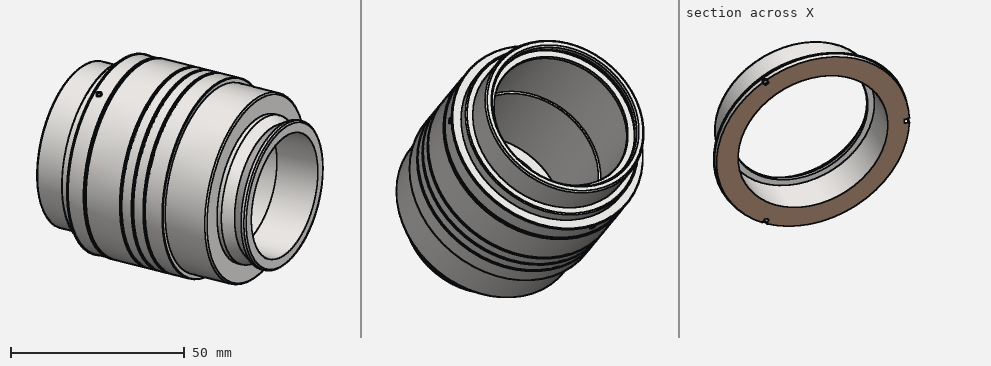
import cadquery as cq
import math

length = 68.55
barrel_radius = 59.7 / 2
fine_bevel = 0.2
bevel = 0.5
cut_clearance = 0.7

nose_radius = 49.55 / 2
nose_end = 9.7
shoulder_radius = 54.0 / 2
shoulder_end = 13.15

ring_end = 19.3
lip_width = 0.3
ring_relief_depth = 0.2

sleeve_start = 19.55
sleeve_end = 45.4
groove_radius = 58.7 / 2
groove_width = 0.75
groove_pitch = 3.9
groove_count = 3
first_groove = 31.0

body_radius = 56.75 / 2
body_end = 59.1
neck_radius = 44.4 / 2
vee_start = 60.5
vee_end = 67.1
vee_angle = 30.0

mouth_radius = 45.2 / 2
mouth_depth = 2.0
mouth_relief_radius = 45.8 / 2
mouth_relief_end = 3.1
lip_bore_radius = 41.8 / 2
lip_bore_end = 4.1
chamber_radius = 45.8 / 2
chamber_end = 28.45
rear_chamber_radius = 44.35 / 2
rear_chamber_end = 54.85
rear_bore_radius = 37.55 / 2

screw_count = 3
screw_position = 15.15
first_screw_angle = 30.0
screw_hole_radius = 1.7 / 2
screw_hole_depth = 0.55
socket_radius = 1.15 / 2
socket_depth = 1.7


def revolve_about_x(points):
    """Revolve a closed (axial position, radius) outline about the X axis."""
    return cq.Workplane("XY").polyline(points).close().revolve(360, (0, 0, 0), (1, 0, 0))


def outer_body():
    floor_radius = barrel_radius - ring_relief_depth
    vee_middle = (vee_start + vee_end) / 2
    vee_depth = (vee_end - vee_start) / 2 * math.tan(math.radians(vee_angle))
    return revolve_about_x([
        (0, 0),
        (0, nose_radius - bevel),
        (bevel, nose_radius),
        (nose_end, nose_radius),
        (nose_end, shoulder_radius - bevel),
        (nose_end + fine_bevel, shoulder_radius),
        (shoulder_end, shoulder_radius),
        (shoulder_end, barrel_radius - fine_bevel),
        (shoulder_end + fine_bevel, barrel_radius),
        (shoulder_end + fine_bevel + lip_width, barrel_radius),
        (shoulder_end + fine_bevel + lip_width, floor_radius),
        (ring_end - fine_bevel - lip_width, floor_radius),
        (ring_end - fine_bevel - lip_width, barrel_radius),
        (ring_end - fine_bevel, barrel_radius),
        (ring_end, barrel_radius - fine_bevel),
        (sleeve_start, barrel_radius - fine_bevel),
        (sleeve_start + fine_bevel, barrel_radius),
        (sleeve_end - fine_bevel, barrel_radius),
        (sleeve_end, barrel_radius - fine_bevel),
        (sleeve_end, body_radius),
        (body_end - bevel, body_radius),
        (body_end, body_radius - bevel),
        (body_end, neck_radius),
        (vee_start, neck_radius),
        (vee_middle, neck_radius - vee_depth),
        (vee_end, neck_radius),
        (length - bevel, neck_radius),
        (length, neck_radius - bevel),
        (length, 0),
    ])


def bore():
    return revolve_about_x([
        (0, 0),
        (0, mouth_radius + bevel),
        (bevel, mouth_radius),
        (mouth_depth, mouth_radius),
        (mouth_depth, mouth_relief_radius),
        (mouth_relief_end, mouth_relief_radius),
        (mouth_relief_end, lip_bore_radius),
        (lip_bore_end, lip_bore_radius),
        (lip_bore_end, chamber_radius),
        (chamber_end, chamber_radius),
        (chamber_end, rear_chamber_radius),
        (rear_chamber_end, rear_chamber_radius),
        (rear_chamber_end, rear_bore_radius),
        (length, rear_bore_radius),
        (length, 0),
    ])


def sleeve_groove(start):
    return revolve_about_x([
        (start, groove_radius),
        (start, barrel_radius + cut_clearance),
        (start + groove_width, barrel_radius + cut_clearance),
        (start + groove_width, groove_radius),
    ])


def radial_hole(radius, depth, angle):
    """Blind hole sunk from the barrel surface, at an angle turned from +Z toward -Y."""
    floor = barrel_radius - depth
    hole = cq.Workplane("XY", origin=(screw_position, 0, floor)).circle(radius).extrude(depth + cut_clearance)
    return hole.rotate((0, 0, 0), (1, 0, 0), angle)


result = outer_body().cut(bore())

for index in range(groove_count):
    result = result.cut(sleeve_groove(first_groove + index * groove_pitch))

for index in range(screw_count):
    screw_angle = first_screw_angle + index * 360 / screw_count
    result = result.cut(radial_hole(screw_hole_radius, screw_hole_depth, screw_angle))
    result = result.cut(radial_hole(socket_radius, socket_depth, screw_angle))